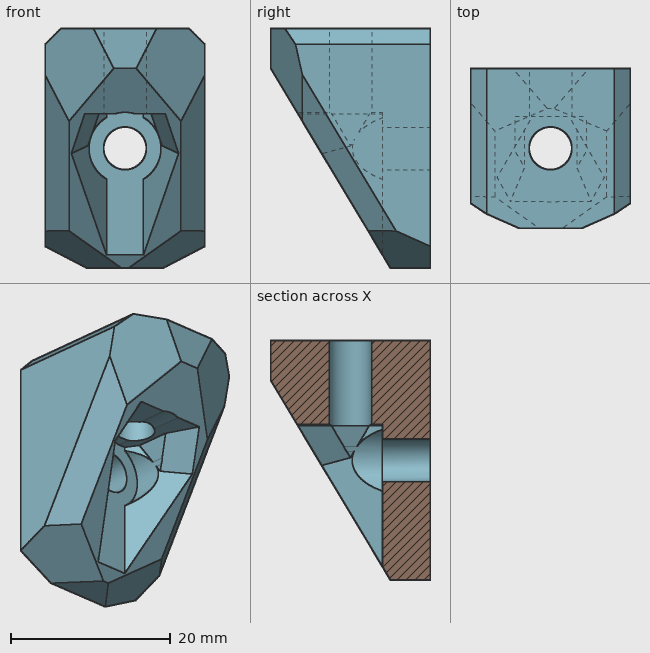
import cadquery as cq
import math

height = 30.0
width = height * 2 / 3
depth = height * 2 / 3
half_width = width / 2
back_y = depth / 2
front_y = -back_y

foot_depth = height / 6
nose_height = height / 6
foot_y = back_y - foot_depth
nose_z = height - nose_height
slope_run = (foot_y - front_y) / nose_z

top_chamfer = height / 15
slope_chamfer = 3.0
nose_top_half = 3.95
nose_bottom_half = 1.4
shoulder_y = -6.0
shoulder_z = 24.12
foot_back_half = 4.75
foot_front_half = 0.42
foot_side_z = 2.73

hole_diameter = 5.3
back_hole_z = height / 2
head_diameter = 9.0
wall_thickness = 6.0
floor_y = back_y - wall_thickness
floor_half = 2.3
flare_angle = 30.0
recess_top_z = 19.32
throat_top_half = 3.27
throat_spread = 0.34
mouth_top_half = 5.05
mouth_tilt = 54.5
mouth_half_angle = 35.8
reach = 2 * height


def top_screw():
    """Screw hole along Z through the whole height."""
    return cq.Workplane("XY").circle(hole_diameter / 2).extrude(height)


def beyond_plane(first, second, third):
    """Large block bounded by the plane through three points, on the side away from the core."""
    a, b, c = cq.Vector(*first), cq.Vector(*second), cq.Vector(*third)
    normal = (b - a).cross(c - a)
    core = cq.Vector(0, foot_y, height / 2)
    if normal.dot(core - a) > 0:
        normal = normal * -1
    plane = cq.Plane(origin=a, xDir=b - a, normal=normal)
    return cq.Workplane(plane).rect(2 * reach, 2 * reach).extrude(reach)


def slope_y(z):
    """Y of the sloping front at height z."""
    return foot_y - slope_run * z


def body():
    """Wedge block with its chamfers and corner facets."""
    profile = [(back_y, 0), (foot_y, 0), (front_y, nose_z), (front_y, height), (back_y, height)]
    block = cq.Workplane("YZ").polyline(profile).close().extrude(half_width, both=True)
    chamfer_shift = slope_chamfer * math.hypot(1, slope_run)
    inner_x = half_width - slope_chamfer
    for side in (-1, 1):
        edge_x = side * half_width
        facets = [
            ((edge_x, front_y, height - top_chamfer), (edge_x, back_y, height - top_chamfer),
             (side * (half_width - top_chamfer), back_y, height)),
            ((edge_x, foot_y + chamfer_shift, 0), (side * inner_x, foot_y, 0),
             (side * inner_x, front_y, nose_z)),
            ((side * nose_top_half, front_y, height), (side * nose_bottom_half, front_y, nose_z),
             (edge_x, shoulder_y, shoulder_z)),
            ((side * foot_back_half, back_y, 0), (side * foot_front_half, foot_y, 0),
             (edge_x, back_y, foot_side_z)),
        ]
        for facet in facets:
            block = block.cut(beyond_plane(*facet))
    return block


def recess():
    """Flared recess in the slope, with a flat back and a flat ceiling."""
    length = floor_y - front_y
    open_half = floor_half + length * math.tan(math.radians(flare_angle))
    flare = (
        cq.Workplane("XY")
        .polyline([(-floor_half, floor_y), (floor_half, floor_y),
                   (open_half, front_y), (-open_half, front_y)])
        .close()
        .extrude(recess_top_z)
    )
    throat_bottom_half = throat_top_half + throat_spread * recess_top_z
    throat = (
        cq.Workplane("XZ")
        .polyline([(-throat_bottom_half, 0), (throat_bottom_half, 0),
                   (throat_top_half, recess_top_z), (-throat_top_half, recess_top_z)])
        .close()
        .extrude(depth, both=True)
    )
    tilt = math.radians(mouth_tilt)
    spread = math.tan(math.radians(mouth_half_angle))
    mouth_plane = cq.Plane(
        origin=(0, slope_y(recess_top_z), recess_top_z),
        xDir=(1, 0, 0),
        normal=(0, -math.sin(tilt), math.cos(tilt)),
    )
    apex = mouth_top_half / spread
    wedge = (
        cq.Workplane(mouth_plane)
        .polyline([(0, apex), (reach * spread, apex - reach), (-reach * spread, apex - reach)])
        .close()
        .extrude(reach, both=True)
    )
    return flare.intersect(throat.union(wedge))


def back_screw():
    """Screw hole along Y and its head clearance in front of the back wall."""
    plane = cq.Workplane("XZ", origin=(0, back_y, back_hole_z))
    hole = plane.circle(hole_diameter / 2).extrude(depth)
    head = plane.workplane(offset=wall_thickness).circle(head_diameter / 2).extrude(depth)
    return hole.union(head)


result = body().cut(recess()).cut(back_screw()).cut(top_screw())